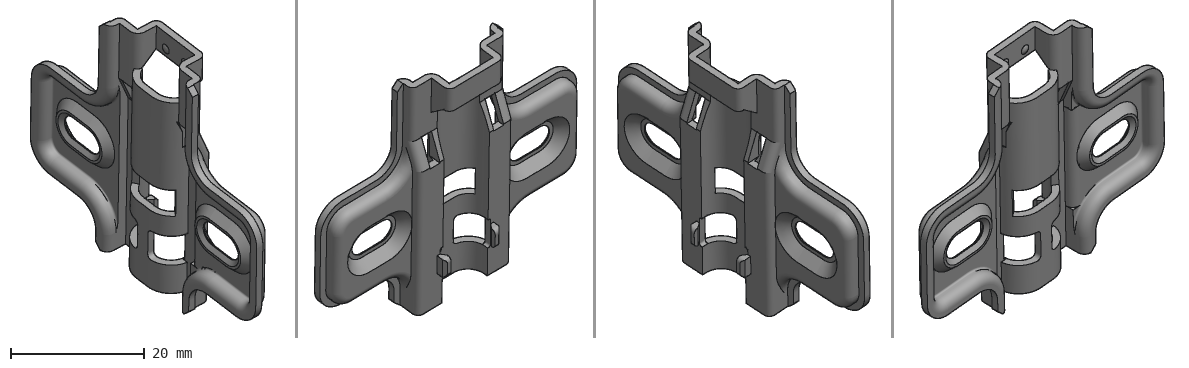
import cadquery as cq
import math

SHEET = 1.2
LENGTH = 44.0
LEAN_ANGLE = 1.0
HALF_LENGTH = LENGTH / 2
REACH = LENGTH
SELECT_MARGIN = 0.1

WING_HALF_WIDTH = 26.0
WING_HALF_HEIGHT = 10.25
WING_Z = -4.5
WING_CORNER_RADIUS = 4.5
NECK_HALF_WIDTH = 10.75
NECK_CORNER_RADIUS = 4.0
NECK_CHAMFER = 1.1

RIM_WIDTH = 0.9
BEND_RADIUS = 1.5
DISH_INSET = RIM_WIDTH + BEND_RADIUS
SHELL_INSET = DISH_INSET - SHEET
PANEL_BACK = 3.5
PANEL_FRONT = PANEL_BACK - SHEET
PANEL_CORNER_RADIUS = BEND_RADIUS - SHEET
PANEL_BEND_BOTTOM = -14.16
PANEL_BEND_TOP = 5.2

CHANNEL_HALF_WIDTH = NECK_HALF_WIDTH - DISH_INSET
SPINE_HALF_WIDTH = NECK_HALF_WIDTH - SHELL_INSET
LOWER_SHELF_BACK = 5.1
UPPER_SHELF_BACK = 3.15
SLOPE_BOTTOM = 6.5
SLOPE_TOP = 11.36
SHELF_EDGE_RADIUS = 1.1

BRIDGE_BACK = 7.03
BRIDGE_BOTTOM = 17.5
BRIDGE_INNER_HALF = 4.42
BRIDGE_OUTER_HALF = BRIDGE_INNER_HALF + SHEET
BRIDGE_WALL_BOTTOM = 15.2
BRIDGE_CORNER_RADIUS = 1.2
BRIDGE_ROOT_RADIUS = 1.65
PIP_DIAMETER = 1.6
PIP_HEIGHT = 0.25
PIP_X = 2.2
PIP_Z = 18.9

TROUGH_TOP = 15.1
TROUGH_FLAT_HALF = 1.3
TROUGH_RADIUS = 4.5
TROUGH_WINDOW_BOTTOM = -6.96
TROUGH_WINDOW_TOP = -1.92
TROUGH_WINDOW_ANGLE = 57.0
TROUGH_OPENING_BOTTOM = -16.47
TROUGH_OPENING_TOP = -10.88
TROUGH_OPENING_INNER = 1.2
TROUGH_OPENING_OUTER = 5.14
TROUGH_OPENING_INNER_RADIUS = 0.8
TROUGH_OPENING_OUTER_RADIUS = 0.4

SHELF_WINDOW_INNER = 5.46
SHELF_WINDOW_OUTER = 7.47
SHELF_WINDOW_BOTTOM = 6.3
SHELF_WINDOW_TOP = 11.38

TAB_ROOT_X = 5.14
TAB_TIP_X = 4.48
TAB_BACK = 6.85
TAB_BOTTOM = -15.46
TAB_TOP = -11.96
TAB_OUTER_BEVEL = 0.55
TAB_CORNER_RADIUS = 0.8

SLOT_X = 16.0
SLOT_STRAIGHT = 4.0
SLOT_RADIUS = 2.05
SLOT_MOUTH_RADIUS = 2.85
SLOT_MOUTH_DEPTH = 0.6
BOSS_BASE_RADIUS = 4.65
BOSS_HEIGHT = 1.35
BOSS_NOSE_RADIUS = BOSS_BASE_RADIUS - BOSS_HEIGHT
BOSS_NOSE_FRONT = PANEL_FRONT - BOSS_HEIGHT
BOSS_NOSE_THICKNESS = 0.8
BOSS_NOSE_BACK = BOSS_NOSE_FRONT + BOSS_NOSE_THICKNESS
DIMPLE_FLOOR_RADIUS = 2.8


def box(x0, x1, y0, y1, z0, z1):
    """Box between two limits along each axis."""
    return cq.Workplane("XY").box(x1 - x0, y1 - y0, z1 - z0, centered=False).translate((x0, y0, z0))


def cross_prism(inset, y0, y1, half_length):
    """Cross-shaped prism, its outline moved inward by inset, between two Y levels."""
    wing_x = WING_HALF_WIDTH - inset
    neck_x = NECK_HALF_WIDTH - inset
    wing_z = WING_HALF_HEIGHT - inset
    wing = box(-wing_x, wing_x, y0, y1, WING_Z - wing_z, WING_Z + wing_z)
    wing = wing.edges("|Y").fillet(WING_CORNER_RADIUS - inset)
    neck = box(-neck_x, neck_x, y0, y1, -half_length, half_length)
    inner_corners = cq.selectors.BoxSelector(
        (-neck_x - SELECT_MARGIN, y0, WING_Z - wing_z - SELECT_MARGIN),
        (neck_x + SELECT_MARGIN, y1, WING_Z + wing_z + SELECT_MARGIN),
    )
    return wing.union(neck).edges("|Y").edges(inner_corners).fillet(NECK_CORNER_RADIUS + inset)


def wing_shell():
    """Flat rim with the still solid raised wings on its back."""
    rim = cross_prism(0, 0, SHEET, HALF_LENGTH)
    for end_z in (-HALF_LENGTH, HALF_LENGTH):
        neck_corners = cq.selectors.BoxSelector(
            (-REACH, -SELECT_MARGIN, end_z - SELECT_MARGIN),
            (REACH, SHEET + SELECT_MARGIN, end_z + SELECT_MARGIN),
        )
        rim = rim.edges("|Y").edges(neck_corners).chamfer(NECK_CHAMFER)
    raised = cross_prism(SHELL_INSET, 0, PANEL_BACK, REACH).faces(">Y").edges().fillet(BEND_RADIUS)
    wing_top = WING_Z + WING_HALF_HEIGHT + NECK_CORNER_RADIUS
    wing_bottom = WING_Z - WING_HALF_HEIGHT - NECK_CORNER_RADIUS
    raised = raised.intersect(box(-REACH, REACH, 0, PANEL_BACK, wing_bottom, wing_top))
    return rim.union(raised)


def shelf_profile(y_shift, x_half):
    """Prism from Y = 0 back to the stepped shelf surface moved by y_shift."""
    lower = LOWER_SHELF_BACK + y_shift
    upper = UPPER_SHELF_BACK + y_shift
    points = [
        (0, -HALF_LENGTH),
        (lower, -HALF_LENGTH),
        (lower, SLOPE_BOTTOM),
        (upper, SLOPE_TOP),
        (upper, HALF_LENGTH),
        (0, HALF_LENGTH),
    ]
    return cq.Workplane("YZ").polyline(points).close().extrude(x_half, both=True)


def spine():
    """Solid block behind the channel, its long back edges rounded."""
    block = shelf_profile(0, SPINE_HALF_WIDTH)
    back_edges = block.faces("<X or >X").edges("not(|Y)").edges("not(<Y)")
    return back_edges.fillet(SHELF_EDGE_RADIUS)


def hollow_front(body):
    """Cut the dish, with its rolled front edge, and the channel between the wings."""
    mouth = box(-REACH, REACH, -SHEET, 0, -REACH, REACH)
    dish = mouth.union(cross_prism(DISH_INSET, 0, PANEL_FRONT, REACH))
    dish_edges = cq.selectors.BoxSelector(
        (-WING_HALF_WIDTH, -SELECT_MARGIN, -REACH + SELECT_MARGIN),
        (WING_HALF_WIDTH, SELECT_MARGIN, REACH - SELECT_MARGIN),
    )
    dish = dish.edges(dish_edges).fillet(BEND_RADIUS)
    dish = dish.faces(">Y").edges("not(>Z or <Z)").fillet(PANEL_CORNER_RADIUS)
    dish = dish.cut(box(-CHANNEL_HALF_WIDTH, CHANNEL_HALF_WIDTH, -SHEET, PANEL_BACK, -REACH, REACH))
    return body.cut(dish).cut(shelf_profile(-SHEET, CHANNEL_HALF_WIDTH))


def panel_bend():
    """Cutting tool that rounds the +X panel into the channel wall."""
    x0 = CHANNEL_HALF_WIDTH
    height = PANEL_BEND_TOP - PANEL_BEND_BOTTOM
    corner = box(x0, x0 + BEND_RADIUS, PANEL_FRONT, PANEL_FRONT + BEND_RADIUS, PANEL_BEND_BOTTOM, PANEL_BEND_TOP)
    roll = cq.Workplane("XY").center(x0 + BEND_RADIUS, PANEL_FRONT + BEND_RADIUS).circle(BEND_RADIUS)
    return corner.cut(roll.extrude(height).translate((0, 0, PANEL_BEND_BOTTOM)))


def bridge():
    """Raised hat-section bridge with sloping lower wall edges."""
    front = UPPER_SHELF_BACK - SHEET
    hat = box(-BRIDGE_OUTER_HALF, BRIDGE_OUTER_HALF, front, BRIDGE_BACK, BRIDGE_WALL_BOTTOM, HALF_LENGTH)
    hat = hat.edges("|Z and >Y").fillet(BRIDGE_CORNER_RADIUS)
    crown_front = BRIDGE_BACK - SHEET
    side = [
        (front, BRIDGE_WALL_BOTTOM),
        (UPPER_SHELF_BACK, BRIDGE_WALL_BOTTOM),
        (crown_front, BRIDGE_BOTTOM),
        (BRIDGE_BACK, BRIDGE_BOTTOM),
        (BRIDGE_BACK, HALF_LENGTH),
        (front, HALF_LENGTH),
    ]
    return hat.intersect(cq.Workplane("YZ").polyline(side).close().extrude(REACH, both=True))


def bridge_opening():
    """Passage between the bridge walls, with rounded lips on the shelf front."""
    front = UPPER_SHELF_BACK - SHEET
    crown_front = BRIDGE_BACK - SHEET
    r = BRIDGE_ROOT_RADIUS
    inner = BRIDGE_INNER_HALF
    outline = (
        cq.Workplane("XY")
        .moveTo(-inner - r, front)
        .radiusArc((-inner, front + r), -r)
        .lineTo(-inner, crown_front)
        .lineTo(inner, crown_front)
        .lineTo(inner, front + r)
        .radiusArc((inner + r, front), -r)
        .close()
    )
    return outline.extrude(HALF_LENGTH - SLOPE_TOP).translate((0, 0, SLOPE_TOP))


def pip(x):
    """Shallow dome on the front face of the bridge."""
    radius = PIP_DIAMETER / 2
    crown_front = BRIDGE_BACK - SHEET
    embed = crown_front + SHEET / 2
    bulge = (radius**2 + PIP_HEIGHT**2) / (2 * PIP_HEIGHT)
    outline = (
        cq.Workplane("XY")
        .moveTo(0, crown_front - PIP_HEIGHT)
        .radiusArc((radius, crown_front), -bulge)
        .lineTo(radius, embed)
        .lineTo(0, embed)
        .close()
    )
    return outline.revolve(360, (0, 0), (0, 1)).translate((x, 0, PIP_Z))


def trough_core(inset):
    """Solid trough whose outer skin is moved inward by inset."""
    radius = TROUGH_RADIUS - inset
    half = TROUGH_FLAT_HALF
    outline = (
        cq.Workplane("XY")
        .moveTo(-half, inset)
        .lineTo(half, inset)
        .radiusArc((half + radius, TROUGH_RADIUS), -radius)
        .lineTo(half + radius, LOWER_SHELF_BACK)
        .lineTo(-half - radius, LOWER_SHELF_BACK)
        .lineTo(-half - radius, TROUGH_RADIUS)
        .radiusArc((-half, inset), -radius)
        .close()
    )
    return outline.extrude(HALF_LENGTH + TROUGH_TOP).translate((0, 0, -HALF_LENGTH))


def trough_window():
    """Window across the trough whose end faces lie along the trough radius."""
    angle = math.radians(TROUGH_WINDOW_ANGLE)

    def radial(distance):
        return TROUGH_FLAT_HALF + distance * math.sin(angle), TROUGH_RADIUS - distance * math.cos(angle)

    inner_x, inner_y = radial(TROUGH_RADIUS - 2 * SHEET)
    outer_x, outer_y = radial(TROUGH_RADIUS + SHEET)
    points = [
        (-inner_x, inner_y),
        (-outer_x, outer_y),
        (-outer_x, -SHEET),
        (outer_x, -SHEET),
        (outer_x, outer_y),
        (inner_x, inner_y),
    ]
    prism = cq.Workplane("XY").polyline(points).close().extrude(TROUGH_WINDOW_TOP - TROUGH_WINDOW_BOTTOM)
    return prism.translate((0, 0, TROUGH_WINDOW_BOTTOM))


def trough_opening():
    """Opening through the +X side of the trough, clear of the shelf beside it."""
    z_range = (TROUGH_OPENING_BOTTOM, TROUGH_OPENING_TOP)
    through = box(TROUGH_OPENING_INNER, TROUGH_OPENING_OUTER, 0, REACH, *z_range)
    through = through.edges("|Y and <X").fillet(TROUGH_OPENING_INNER_RADIUS)
    through = through.edges("|Y and >X").fillet(TROUGH_OPENING_OUTER_RADIUS)
    outer_x = TROUGH_FLAT_HALF + TROUGH_RADIUS
    shelf_front = LOWER_SHELF_BACK - SHEET
    side = box(TROUGH_OPENING_OUTER - TROUGH_OPENING_OUTER_RADIUS, outer_x, 0, shelf_front, *z_range)
    return through.union(side)


def shelf_window():
    """Window through the sloping shelf on the +X side."""
    return box(SHELF_WINDOW_INNER, SHELF_WINDOW_OUTER, 0, REACH, SHELF_WINDOW_BOTTOM, SHELF_WINDOW_TOP)


def tab():
    """Upright tab on the +X side, leaning inward, with a bevelled and rounded free end."""
    outer_x = TAB_ROOT_X + SHEET / 2
    shelf_front = LOWER_SHELF_BACK - SHEET
    outline = [
        (TAB_ROOT_X, shelf_front),
        (TAB_ROOT_X, LOWER_SHELF_BACK),
        (TAB_TIP_X, TAB_BACK - TAB_CORNER_RADIUS),
        (TAB_TIP_X, TAB_BACK),
        (outer_x - TAB_OUTER_BEVEL, TAB_BACK),
        (outer_x, TAB_BACK - TAB_OUTER_BEVEL),
        (outer_x, shelf_front),
    ]
    leaning = cq.Workplane("XY").polyline(outline).close().extrude(TAB_TOP - TAB_BOTTOM)
    leaning = leaning.translate((0, 0, TAB_BOTTOM))
    rounded = box(0, REACH, 0, TAB_BACK, TAB_BOTTOM, TAB_TOP).edges("|X and >Y").fillet(TAB_CORNER_RADIUS)
    return leaning.intersect(rounded)


def oblong_taper(x, y0, y1, radius0, radius1):
    """Oblong frustum along Y, from radius0 at y0 to radius1 at y1."""
    half = SLOT_STRAIGHT / 2
    side = [(0, y0), (radius0, y0), (radius1, y1), (0, y1)]
    cone = cq.Workplane("XY").polyline(side).close().revolve(360, (0, 0), (0, 1))
    middle_side = [(y0, -radius0), (y0, radius0), (y1, radius1), (y1, -radius1)]
    middle = cq.Workplane("YZ").polyline(middle_side).close().extrude(half, both=True)
    oblong = middle.union(cone.translate((-half, 0, 0))).union(cone.translate((half, 0, 0)))
    return oblong.translate((x, 0, WING_Z))


def add_slot_boss(body, x):
    """Press the panel forward into a cone and pierce it with a flared slot."""
    mouth_end = BOSS_NOSE_FRONT + SLOT_MOUTH_DEPTH
    dimple_radius = DIMPLE_FLOOR_RADIUS + PANEL_BACK - BOSS_NOSE_BACK
    body = body.union(oblong_taper(x, BOSS_NOSE_FRONT, PANEL_FRONT, BOSS_NOSE_RADIUS, BOSS_BASE_RADIUS))
    body = body.cut(oblong_taper(x, BOSS_NOSE_BACK, PANEL_BACK, DIMPLE_FLOOR_RADIUS, dimple_radius))
    body = body.cut(oblong_taper(x, BOSS_NOSE_FRONT, mouth_end, SLOT_MOUTH_RADIUS, SLOT_RADIUS))
    return body.cut(oblong_taper(x, 0, PANEL_BACK, SLOT_RADIUS, SLOT_RADIUS))


def build():
    """Assemble the upright plate, then lean it back."""
    body = hollow_front(wing_shell().union(spine()))
    for x in (-SLOT_X, SLOT_X):
        body = add_slot_boss(body, x)
    body = body.cut(panel_bend())
    body = body.union(bridge()).cut(bridge_opening())
    trough = trough_core(0).intersect(shelf_profile(0, SPINE_HALF_WIDTH))
    body = body.union(trough).cut(trough_core(SHEET)).cut(trough_window())
    for feature in (trough_opening(), shelf_window()):
        body = body.cut(feature).cut(feature.mirror("YZ"))
    body = body.union(tab()).union(tab().mirror("YZ"))
    for x in (-PIP_X, PIP_X):
        body = body.union(pip(x))
    return body.rotate((0, 0, 0), (1, 0, 0), -LEAN_ANGLE)


result = build()